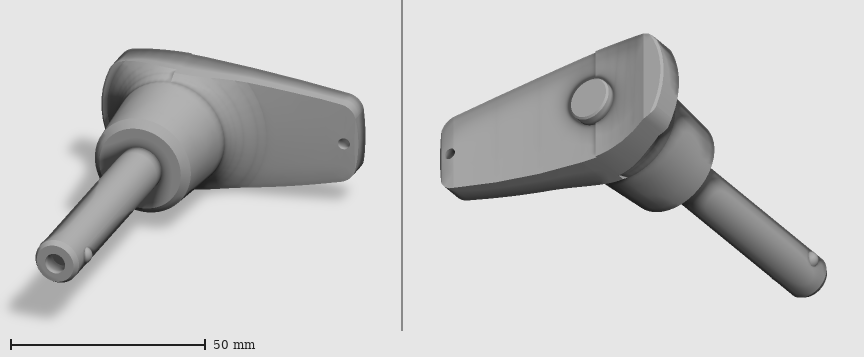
import cadquery as cq
import math


pin_diameter = 12.0
pin_length = 60.0
pin_chamfer_radial = 0.9
pin_chamfer_axial = 1.5
bore_diameter = 5.5
bore_depth = 5.0
ball_diameter = 4.5
ball_tip_reach = 7.2
ball_from_tip = 7.5
button_diameter = 12.0
button_chamfer = 0.5

overall_length = 99.5
top_y = overall_length - pin_length
hub_top_y = 21.8
hub_top_radius = 14.85
hub_nose_radius = 13.25
hub_chamfer = 2.0

handle_length = 70.17
right_end_x = 47.0
left_end_x = right_end_x - handle_length
half_width = 16.5
side_end_x = 4.5
left_corner_start = (-17.2, 13.4)
left_corner_end = (-20.9, 10.4)
left_corner_mid = (-19.5, 12.2)
right_side_mid = (23.9, 14.3)
right_corner_start = (42.4, 11.1)
right_corner_mid = (45.0, 9.8)
right_corner_end = (46.4, 7.3)

left_crest_y = 36.4
right_crest_y = 35.9
left_top_mid = (-9.0, 37.2)
right_top_mid = (23.4, 37.2)
end_chamfer = 0.6
right_bevel_x = 0.9
right_bevel_y = 0.6
right_bevel_overrun = 0.3

left_flare_mid = (17.4, 27.5)
left_flare_end = (21.3, 31.4)
right_flare_mid = (18.5, 25.8)
right_flare_end = (23.8, 28.4)
right_tip_underside = (right_end_x, 33.3)

keyring_hole_diameter = 3.1
keyring_hole_x = 43.5


def mirror_z(point):
    """Reflect an (X, Z) outline point to the other side of the handle."""
    return (point[0], -point[1])


def handle_outline():
    """Prism along Y with the full outline of the handle."""
    corner_x, corner_z = left_corner_start
    side_drop = half_width - corner_z
    side_radius = (corner_x ** 2 + side_drop ** 2) / (2 * side_drop)
    side_center_z = half_width - side_radius
    side_end_z = side_center_z + math.sqrt(side_radius ** 2 - side_end_x ** 2)
    side_end = (side_end_x, side_end_z)
    return (
        cq.Workplane("XZ")
        .moveTo(*side_end)
        .threePointArc((0, half_width), left_corner_start)
        .threePointArc(left_corner_mid, left_corner_end)
        .threePointArc((left_end_x, 0), mirror_z(left_corner_end))
        .threePointArc(mirror_z(left_corner_mid), mirror_z(left_corner_start))
        .threePointArc((0, -half_width), mirror_z(side_end))
        .threePointArc(mirror_z(right_side_mid), mirror_z(right_corner_start))
        .threePointArc(mirror_z(right_corner_mid), mirror_z(right_corner_end))
        .threePointArc((right_end_x, 0), right_corner_end)
        .threePointArc(right_corner_mid, right_corner_start)
        .threePointArc(right_side_mid, side_end)
        .close()
        .extrude(-overall_length)
    )


def left_top_limit():
    """Prism along Z below the dished top of the left half."""
    return (
        cq.Workplane("XY")
        .moveTo(0, 0)
        .lineTo(0, left_crest_y)
        .threePointArc(left_top_mid, (left_corner_start[0], top_y))
        .lineTo(left_end_x, top_y)
        .lineTo(left_end_x, 0)
        .close()
        .extrude(half_width, both=True)
    )


def right_top_limit():
    """Prism along Z below the top of the right half, with both tip edges bevelled."""
    tip_underside_y = right_tip_underside[1]
    return (
        cq.Workplane("XY")
        .moveTo(0, 0)
        .lineTo(0, right_crest_y)
        .threePointArc(right_top_mid, (right_corner_start[0], top_y))
        .lineTo(right_end_x - right_bevel_x, top_y)
        .lineTo(right_end_x, top_y - right_bevel_y)
        .lineTo(right_end_x, tip_underside_y + right_bevel_y)
        .lineTo(right_end_x - right_bevel_x, tip_underside_y - right_bevel_overrun)
        .lineTo(right_end_x - right_bevel_x, 0)
        .close()
        .extrude(half_width, both=True)
    )


def flared_body(flare_mid, flare_end, rim):
    """Revolved body above a flare that grows from the hub and runs on straight to the rim."""
    return (
        cq.Workplane("XY")
        .moveTo(0, hub_top_y)
        .lineTo(hub_top_radius, hub_top_y)
        .threePointArc(flare_mid, flare_end)
        .lineTo(*rim)
        .lineTo(rim[0], top_y)
        .lineTo(0, top_y)
        .close()
        .revolve(360, (0, 0), (0, 1))
    )


def left_end_limit():
    """Disc that carries the rounded left end, chamfered at its top and underside rims."""
    end_depth = left_corner_end[0] - left_end_x
    end_radius = (left_corner_end[1] ** 2 + end_depth ** 2) / (2 * end_depth)
    center_x = left_end_x + end_radius
    underside_y = left_flare_end[1]
    inner_radius = end_radius - end_chamfer
    return (
        cq.Workplane("XY")
        .polyline([
            (0, 0),
            (inner_radius, 0),
            (inner_radius, underside_y),
            (end_radius, underside_y + end_chamfer),
            (end_radius, top_y - end_chamfer),
            (inner_radius, top_y),
            (0, top_y),
        ])
        .close()
        .revolve(360, (0, 0), (0, 1))
        .translate((center_x, 0, 0))
    )


def left_handle(outline):
    rim = (-left_end_x + half_width, left_flare_end[1])
    body = flared_body(left_flare_mid, left_flare_end, rim)
    half = body.intersect(outline).intersect(left_top_limit())
    return half.intersect(left_end_limit())


def right_handle(outline):
    body = flared_body(right_flare_mid, right_flare_end, right_tip_underside)
    half = body.intersect(outline).intersect(right_top_limit())
    keyring_hole = (
        cq.Workplane("XZ")
        .center(keyring_hole_x, 0)
        .circle(keyring_hole_diameter / 2)
        .extrude(-overall_length)
    )
    return half.cut(keyring_hole)


def hub():
    return (
        cq.Workplane("XY")
        .polyline([
            (0, 0),
            (hub_nose_radius - hub_chamfer, 0),
            (hub_nose_radius, hub_chamfer),
            (hub_top_radius, hub_top_y),
            (0, hub_top_y),
        ])
        .close()
        .revolve(360, (0, 0), (0, 1))
    )


def pin():
    """Pin shank with a chamfered tip, a blind bore in the tip and two locking balls."""
    pin_radius = pin_diameter / 2
    tip_radius = pin_radius - pin_chamfer_radial
    bore_radius = bore_diameter / 2
    shank = (
        cq.Workplane("XY")
        .polyline([
            (0, hub_chamfer),
            (pin_radius, hub_chamfer),
            (pin_radius, pin_chamfer_axial - pin_length),
            (tip_radius, -pin_length),
            (bore_radius, -pin_length),
            (bore_radius, bore_depth - pin_length),
            (0, bore_depth - pin_length),
        ])
        .close()
        .revolve(360, (0, 0), (0, 1))
    )
    ball_radius = ball_diameter / 2
    ball_x = ball_tip_reach - ball_radius
    for side in (-1, 1):
        ball = cq.Workplane("XY").sphere(ball_radius)
        shank = shank.union(ball.translate((side * ball_x, ball_from_tip - pin_length, 0)))
    return shank


def button():
    return (
        cq.Workplane("XZ", origin=(0, hub_top_y, 0))
        .circle(button_diameter / 2)
        .extrude(hub_top_y - top_y)
        .faces(">Y")
        .chamfer(button_chamfer)
    )


handle_prism = handle_outline()
handle = left_handle(handle_prism).union(right_handle(handle_prism))
result = hub().union(handle).union(pin()).union(button()).clean()